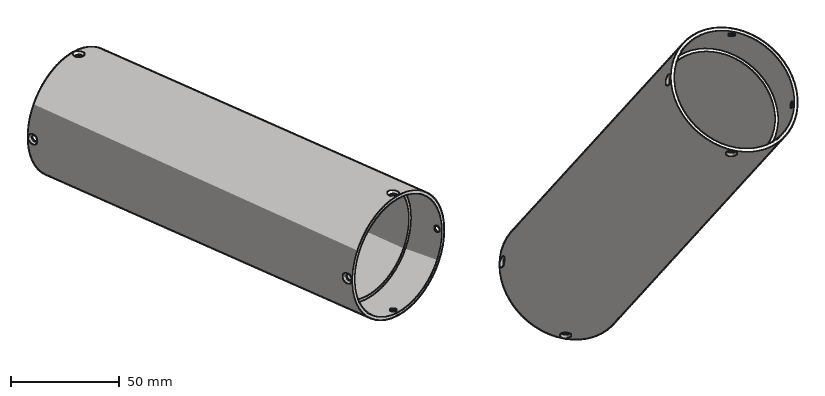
import cadquery as cq

length = 200.5
outer_diameter = 63.5
bore_diameter = 57.1

socket_diameter = 60.1
socket_depth = 19.0

hole_diameter = 3.2
countersink_diameter = 5.6
countersink_angle = 90.0
hole_inset = 3.2
holes_per_end = 4

half_length = length / 2


def make_tube():
    """Plain tube with a socket recessed into both ends."""
    tube = (
        cq.Workplane("YZ")
        .circle(outer_diameter / 2)
        .circle(bore_diameter / 2)
        .extrude(half_length, both=True)
    )
    for start in (-half_length, half_length - socket_depth):
        socket = (
            cq.Workplane("YZ", origin=(start, 0, 0))
            .circle(socket_diameter / 2)
            .extrude(socket_depth)
        )
        tube = tube.cut(socket)
    return tube


def drill_screw_holes(tube):
    """Countersunk holes through the socket walls, evenly spaced around the axis."""
    hole_x = half_length - hole_inset
    for _ in range(holes_per_end):
        tube = (
            tube.rotate((0, 0, 0), (1, 0, 0), 360 / holes_per_end)
            .copyWorkplane(cq.Workplane("XY", origin=(0, 0, outer_diameter / 2)))
            .pushPoints([(-hole_x, 0), (hole_x, 0)])
            .cskHole(hole_diameter, countersink_diameter, countersink_angle, depth=outer_diameter / 2)
        )
    return tube


result = drill_screw_holes(make_tube())